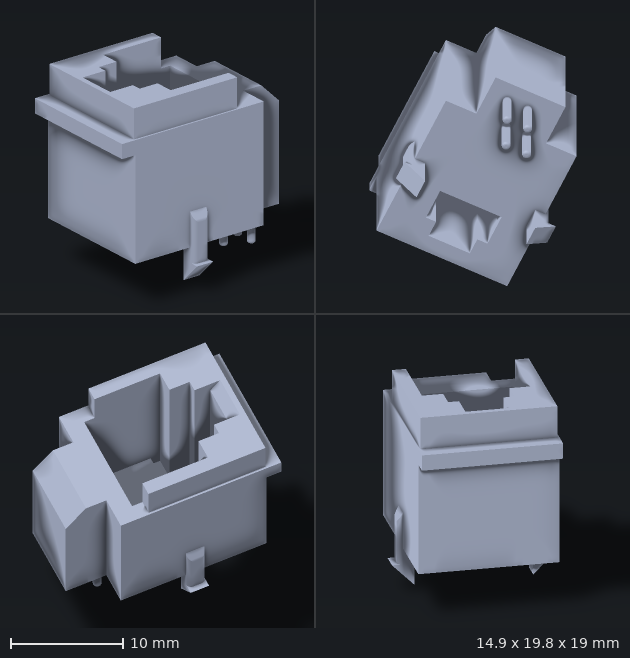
import cadquery as cq
import math


overall_depth = 19.8
body_width = 12.87
body_depth = 14.34
body_height = 12.0
lip_overhang = 1.47
lip_height = 1.47
tongue_width = 6.87
tongue_length = overall_depth - lip_overhang - body_depth
tongue_chamfer = 2.0

collar_width = 12.47
collar_depth = 11.52
collar_height = 3.0
collar_top = body_height + collar_height

cavity_width = 9.94
cavity_rear_y = 12.53
cavity_step_y = 6.0
cavity_front_y = 5.07
cavity_floor = 2.0
ledge_floor = 1.0

slot_width = 6.05
slot_front_y = 3.07
notch_width = 4.05
notch_front_y = 1.52
notch_lead_in = 0.99

hook_span = 14.9
hook_width = 1.8
hook_y = 7.03
hook_thickness = 1.0
hook_neck = 1.5
rib_thickness = 0.5
rib_top = 3.46
rib_round = rib_thickness
rib_slope_angle = 30

pin_count = 4
pin_diameter = 0.8
pin_pitch = 1.0
pin_length = 4.0
pin_tip_round = 0.25
pin_front_row_y = body_depth
pin_rear_row_y = 16.67


def block(width, y_start, y_end, z_start, z_end):
    """Box centred on X that spans the given Y and Z ranges."""
    box = cq.Workplane("XY").box(width, y_end - y_start, z_end - z_start, centered=(True, False, False))
    return box.translate((0, y_start, z_start))


def make_housing():
    main = block(body_width, 0, body_depth, 0, body_height)
    lip = block(body_width, -lip_overhang, 0, body_height - lip_height, body_height)
    tongue = block(tongue_width, body_depth, body_depth + tongue_length, 0, body_height)
    tongue = tongue.edges(">Y and >Z").chamfer(tongue_chamfer)
    collar = block(collar_width, 0, collar_depth, body_height, collar_top)
    return main.union(lip).union(tongue).union(collar)


def make_plug_cavity():
    rear = block(cavity_width, cavity_step_y, cavity_rear_y, cavity_floor, collar_top)
    ledges = block(cavity_width, cavity_front_y, cavity_step_y, ledge_floor, collar_top)
    slot = block(slot_width, slot_front_y, cavity_step_y, 0, collar_top)
    notch = block(notch_width, notch_front_y, slot_front_y, 0, collar_top)
    lead_in = (
        cq.Workplane("YZ")
        .moveTo(notch_front_y, collar_top)
        .lineTo(notch_front_y, collar_top - notch_lead_in)
        .lineTo(notch_front_y - notch_lead_in, collar_top)
        .close()
        .extrude(notch_width / 2, both=True)
    )
    return rear.union(ledges).union(slot).union(notch).union(lead_in)


def make_hook():
    """Right-hand board hook: a neck under the side wall ending in a 45 degree barb."""
    outer_x = body_width / 2
    inner_x = outer_x - hook_thickness
    tip_x = hook_span / 2
    barb_height = tip_x - inner_x
    return (
        cq.Workplane("XZ")
        .moveTo(inner_x, 0)
        .lineTo(outer_x, 0)
        .lineTo(outer_x, -hook_neck)
        .lineTo(tip_x, -hook_neck)
        .lineTo(inner_x, -hook_neck - barb_height)
        .close()
        .extrude(hook_width / 2, both=True)
        .translate((0, hook_y, 0))
    )


def make_rib():
    """Right-hand rib: a round-cornered bar whose top slopes back into the side wall."""
    wall_x = body_width / 2
    inner_x = wall_x - hook_thickness
    outer_x = wall_x + rib_thickness
    shoulder_z = rib_top - rib_thickness / math.tan(math.radians(rib_slope_angle))
    profile = (
        cq.Workplane("XZ")
        .moveTo(inner_x, -hook_neck)
        .lineTo(outer_x, -hook_neck)
        .lineTo(outer_x, shoulder_z)
        .lineTo(wall_x, rib_top)
        .lineTo(inner_x, rib_top)
        .close()
        .extrude(hook_width / 2, both=True)
        .edges(cq.selectors.NearestToPointSelector((outer_x, 0, shoulder_z)))
        .fillet(rib_round)
        .translate((0, hook_y, 0))
    )
    bar = (
        cq.Workplane("XY")
        .box(outer_x - inner_x, hook_width, rib_top + hook_neck, centered=(False, True, False))
        .edges("|Z and >X")
        .fillet(rib_round)
        .translate((inner_x, hook_y, -hook_neck))
    )
    return profile.intersect(bar)


def make_pin(x, y):
    """Round pin hanging from the underside with a rounded tip."""
    return (
        cq.Workplane("XY")
        .circle(pin_diameter / 2)
        .extrude(-pin_length)
        .faces("<Z")
        .edges()
        .fillet(pin_tip_round)
        .translate((x, y, 0))
    )


result = make_housing().cut(make_plug_cavity())

for side_part in (make_hook(), make_rib()):
    result = result.union(side_part).union(side_part.mirror("YZ"))

for index in range(pin_count):
    pin_x = (index - (pin_count - 1) / 2) * pin_pitch
    pin_y = pin_front_row_y if index % 2 == 0 else pin_rear_row_y
    result = result.union(make_pin(pin_x, pin_y))